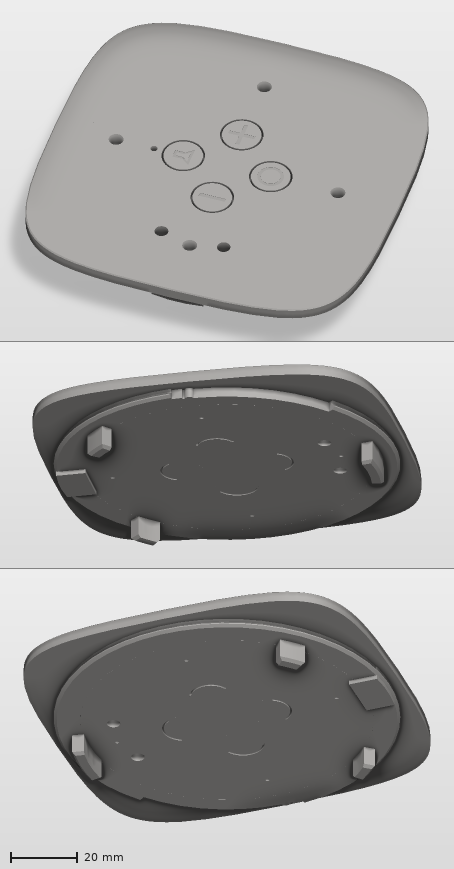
import cadquery as cq
import math


half_width = 55.0
corner_pull = 50.7
plate_thickness = 3.5
edge_chamfer = 0.3

base_bottom = -6.6
base_top_radius = 51.6
groove_radius = 51.0
groove_top = -4.2
groove_bottom = -4.6
bead_radius = 52.5
bead_top = -5.5
bead_bottom = -5.8
base_bottom_radius = 51.6

relief_start = 173.2
relief_step = 176.8
relief_end = 230.8
relief_shallow_radius = 50.6
relief_deep_radius = 49.7
relief_clearance = 1.1
detent_diameter = 3.0
detent_center_radius = 49.3
detent_angle = 179.1

total_height = 13.5
foot_inner_radius = 44.0
foot_outer_radius = 47.6
foot_chamfer = 0.9
wide_foot_half_angle = 10.0
narrow_foot_half_angle = 5.0
tab_width = 15.4
tab_inner_y = 42.2
tab_outer_radius = 51.8
tab_bottom = -7.9

ring_diameter = 88.8
disc_diameter = 79.8

screw_radius = 35.4
screw_head_diameter = 4.5
screw_hole_diameter = 1.3
screw_head_depth = 2.6
pin_holes = [(-10.0, -32.5, 4.2), (10.0, -32.9, 4.1)]
led_x = -23.3
led_diameter = 2.2
led_depth = 4.4

button_offset = 14.0
button_hole_diameter = 13.2
button_diameter = 12.0
shoulder_depth = 1.6
shoulder_overreach = 2.8
symbol_depth = 0.1
bar_length = 8.4
bar_width = 1.2
power_outer_diameter = 8.0
power_inner_diameter = 6.0


def cylinder(diameter, top, bottom, x=0, y=0):
    return cq.Workplane("XY", origin=(x, y, bottom)).circle(diameter / 2).extrude(top - bottom)


def polar(radius, angle):
    a = math.radians(angle)
    return (radius * math.cos(a), radius * math.sin(a))


def sector(inner, outer, start, end, top, bottom):
    """Arc-shaped block between two radii and two angles."""
    middle = (start + end) / 2
    return (
        cq.Workplane("XY", origin=(0, 0, bottom))
        .moveTo(*polar(inner, start))
        .lineTo(*polar(outer, start))
        .threePointArc(polar(outer, middle), polar(outer, end))
        .lineTo(*polar(inner, end))
        .threePointArc(polar(inner, middle), polar(inner, start))
        .close()
        .extrude(top - bottom)
    )



def cover_outline(inset, z):
    """Rounded square with bowed sides: one cubic Bezier curve from each side middle to the next."""
    reach = half_width - inset
    pull = corner_pull * reach / half_width
    quadrant = [(reach, 0), (reach, pull), (pull, reach), (0, reach)]
    edges = []
    for turn in range(4):
        c = round(math.cos(turn * math.pi / 2))
        s = round(math.sin(turn * math.pi / 2))
        points = [cq.Vector(c * x - s * y, s * x + c * y, z) for x, y in quadrant]
        edges.append(cq.Edge.makeBezier(points))
    return cq.Wire.assembleEdges(edges)


def cover_plate():
    """Plate with a small bevel around its top edge."""
    wall_height = plate_thickness - edge_chamfer
    lower = cq.Solid.extrudeLinear(
        cover_outline(0, -plate_thickness), [], cq.Vector(0, 0, wall_height)
    )
    bevel = cq.Solid.makeLoft([cover_outline(0, -edge_chamfer), cover_outline(edge_chamfer, 0)], True)
    return cq.Workplane(lower).union(cq.Workplane(bevel))


def beaded_base():
    profile = [
        (0, -plate_thickness),
        (base_top_radius, -plate_thickness),
        (groove_radius, groove_top),
        (groove_radius, groove_bottom),
        (bead_radius, bead_top),
        (bead_radius, bead_bottom),
        (base_bottom_radius, base_bottom),
        (0, base_bottom),
    ]
    return cq.Workplane("XZ").polyline(profile).close().revolve(360, (0, 0, 0), (0, 1, 0))


def bead_relief():
    clear_radius = bead_radius + relief_clearance
    top = -plate_thickness
    shallow = sector(relief_shallow_radius, clear_radius, relief_start, relief_step, top, base_bottom)
    deep = sector(relief_deep_radius, clear_radius, relief_step, relief_end, top, base_bottom)
    return shallow.union(deep)


def detent():
    """Upright rounded rib on the relief wall."""
    x, y = polar(detent_center_radius, detent_angle)
    return cylinder(detent_diameter, -plate_thickness, base_bottom, x, y)


def foot(angle, half_angle):
    block = sector(
        foot_inner_radius, foot_outer_radius, angle - half_angle, angle + half_angle,
        base_bottom, -total_height,
    )
    inner_edge = cq.selectors.NearestToPointSelector((*polar(foot_inner_radius, angle), -total_height))
    bottom_edges = cq.selectors.StringSyntaxSelector("<Z")
    edges = block.faces(bottom_edges).edges(cq.selectors.InverseSelector(inner_edge))
    return edges.chamfer(foot_chamfer)


def rear_tab():
    length = tab_outer_radius - tab_inner_y
    height = -plate_thickness - tab_bottom
    block = cq.Workplane("XY").box(tab_width, length, height, centered=(True, False, False))
    block = block.translate((0, tab_inner_y, tab_bottom))
    return block.intersect(cylinder(2 * tab_outer_radius, 0, tab_bottom))


def make_cover():
    base = beaded_base().cut(bead_relief()).union(detent()).union(rear_tab())
    cover = cover_plate().union(base)
    cover = cover.cut(cylinder(ring_diameter, 0, base_bottom))
    cover = cover.union(foot(-90, wide_foot_half_angle))
    for angle in (45, 135):
        cover = cover.union(foot(angle, narrow_foot_half_angle))
    return cover



def make_ring():
    return cylinder(ring_diameter, 0, base_bottom).cut(cylinder(disc_diameter, 0, base_bottom))



def screw_hole(x, y):
    head = cq.Solid.makeCone(
        screw_hole_diameter / 2, screw_head_diameter / 2, screw_head_depth,
        pnt=cq.Vector(x, y, -screw_head_depth),
    )
    return cylinder(screw_hole_diameter, 0, base_bottom, x, y).union(cq.Workplane(head))


def led_recess():
    """Blind tapered recess beside the speaker button."""
    cone = cq.Solid.makeCone(0, led_diameter / 2, led_depth, pnt=cq.Vector(led_x, 0, -led_depth))
    return cq.Workplane(cone)


def make_disc():
    disc = cylinder(disc_diameter, 0, base_bottom)
    for angle in range(0, 360, 90):
        disc = disc.cut(screw_hole(*polar(screw_radius, angle)))
        x, y = polar(button_offset, angle)
        disc = disc.cut(cylinder(button_hole_diameter, 0, base_bottom, x, y))
    for x, y, diameter in pin_holes:
        disc = disc.cut(cylinder(diameter, 0, base_bottom, x, y))
    return disc.cut(led_recess())



def symbol_plane():
    return cq.Workplane("XY", origin=(0, 0, -symbol_depth))


def minus_symbol():
    return symbol_plane().rect(bar_length, bar_width).extrude(symbol_depth)


def plus_symbol():
    return minus_symbol().union(symbol_plane().rect(bar_width, bar_length).extrude(symbol_depth))


def power_symbol():
    return (
        symbol_plane().circle(power_outer_diameter / 2).circle(power_inner_diameter / 2).extrude(symbol_depth)
    )


def speaker_shape(back, neck, front, box_half, horn_half):
    upper = [(back, box_half), (neck, box_half), (front, horn_half)]
    lower = [(x, -y) for x, y in reversed(upper)]
    return symbol_plane().polyline(upper + lower).close().extrude(symbol_depth)


def speaker_symbol():
    outer = speaker_shape(back=-3.0, neck=0.2, front=2.6, box_half=1.4, horn_half=3.3)
    inner = speaker_shape(back=-2.2, neck=0.0, front=1.9, box_half=0.7, horn_half=1.9)
    return outer.cut(inner)


def make_button(angle, symbol):
    """Button with a low shoulder that meets its hole on the side towards the disc centre."""
    x, y = polar(button_offset, angle)
    body = cylinder(button_diameter, 0, base_bottom)
    inner_side = (
        cq.Workplane("XY")
        .box(button_hole_diameter, 2 * button_hole_diameter, total_height)
        .translate((shoulder_overreach - button_hole_diameter / 2, 0, 0))
        .rotate((0, 0, 0), (0, 0, 1), angle)
    )
    shoulder = cylinder(button_hole_diameter, -shoulder_depth, base_bottom).intersect(inner_side)
    return body.union(shoulder).cut(symbol).translate((x, y, 0))


cover = make_cover()
ring = make_ring()
disc = make_disc()
symbols = [power_symbol(), plus_symbol(), speaker_symbol(), minus_symbol()]
buttons = [make_button(90 * i, symbol) for i, symbol in enumerate(symbols)]

result = cq.Compound.makeCompound(
    [cover.val(), ring.val(), disc.val(), *[button.val() for button in buttons]]
)